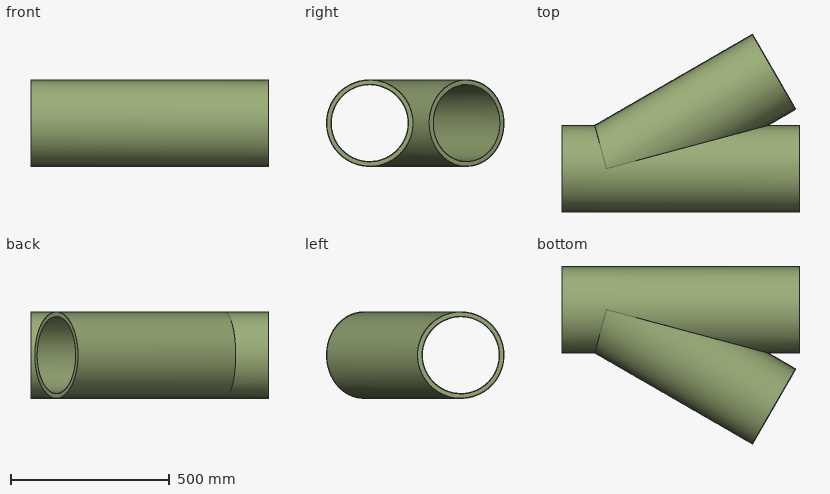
import cadquery as cq
import math

outer_diameter = 273.0
bore_diameter = 243.0

run_length = 749.0

branch_angle = 30.0
branch_length = 611.0
branch_offset = 140.0

run_start = cq.Vector(-run_length / 2, 0, 0)
run_direction = cq.Vector(1, 0, 0)
branch_start = run_start + run_direction * branch_offset
branch_direction = cq.Vector(
    math.cos(math.radians(branch_angle)),
    math.sin(math.radians(branch_angle)),
    0,
)


def wye(diameter):
    """Solid run and branch of one diameter, joined together."""
    radius = diameter / 2
    run = cq.Solid.makeCylinder(radius, run_length, run_start, run_direction)
    branch = cq.Solid.makeCylinder(radius, branch_length, branch_start, branch_direction)
    return cq.Workplane(run).union(cq.Workplane(branch))


result = wye(outer_diameter).cut(wye(bore_diameter))